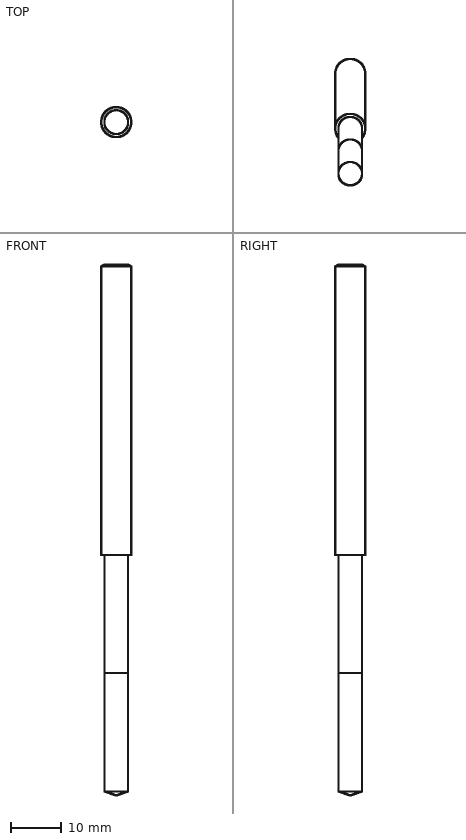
import cadquery as cq
import math

overall_length = 105.9
shank_diameter = 6.0
drill_diameter = 4.8
shank_length = 57.9
cutting_length = 24.5
point_angle = 140.0
chamfer_width = 0.6
chamfer_height = 0.4

shank_radius = shank_diameter / 2
drill_radius = drill_diameter / 2
shoulder_z = overall_length - shank_length
point_height = drill_radius / math.tan(math.radians(point_angle / 2))


def revolve_profile(points):
    """Revolve a closed (radius, height) outline about the Z axis."""
    return cq.Workplane("XZ").polyline(points).close().revolve(360, (0, 0, 0), (0, 1, 0))


def make_holder():
    """Chamfered shank with the plain neck that leads to the cutting part."""
    return revolve_profile([
        (0, cutting_length),
        (drill_radius, cutting_length),
        (drill_radius, shoulder_z),
        (shank_radius, shoulder_z),
        (shank_radius, overall_length - chamfer_height),
        (shank_radius - chamfer_width, overall_length),
        (0, overall_length),
    ])


def make_cutting_part():
    """Cylinder with a conical drill point, meeting the neck end to end."""
    return revolve_profile([
        (0, 0),
        (drill_radius, point_height),
        (drill_radius, cutting_length),
        (0, cutting_length),
    ])


holder = make_holder()
cutting_part = make_cutting_part()

result = cq.Compound.makeCompound([holder.val(), cutting_part.val()])